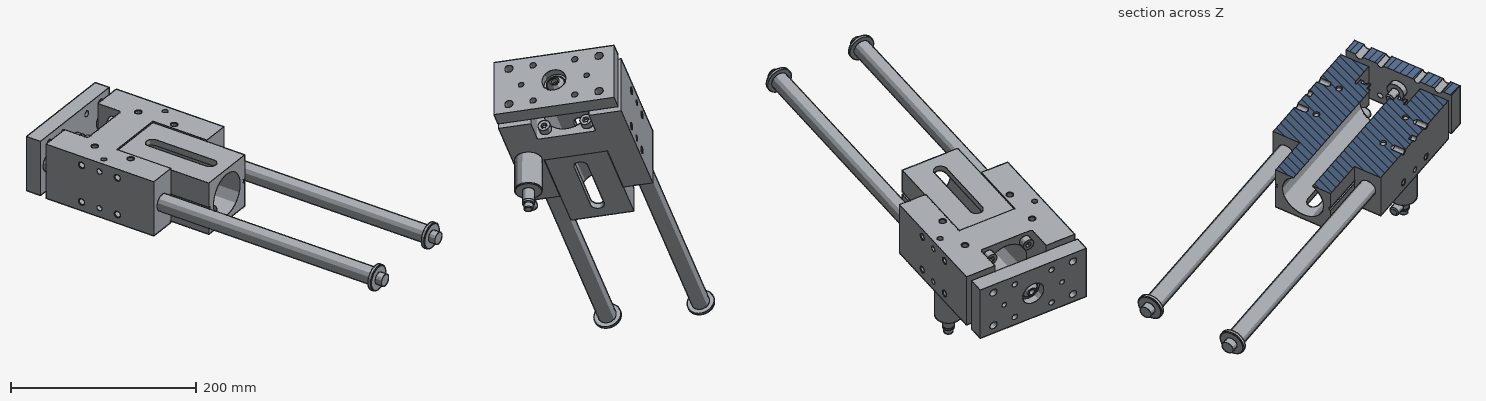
import cadquery as cq
import math


height = 69.0
rod_diameter = 20.0
rod_offset = 52.0
screw_offset = 23.3

plate_length = 18.2
plate_width = 134.0
mount_hole_diameter = 9.0
mount_hole_offset_y = 50.0
access_hole_diameter = 7.0
dowel_hole_diameter = 6.0
dowel_hole_offset_y = 36.5
dowel_hole_depth = 9.0

coupling_bore_diameter = 26.5
coupling_bore_depth = 9.0
coupling_disc_diameter = 21.0
coupling_disc_length = 7.0
stud_diameter = 10.0
stud_end = 38.0
stud_chamfer = 1.5
disc_rise = 1.0
cone_height = 5.5
cone_diameter = 19.0
cone_tip_diameter = 10.0
cone_hole_diameter = 7.0

overall_length = 456.0
washer_start = 443.5
washer_end = 448.0
washer_diameter = 30.0
washer_chamfer = 1.0
rod_tip_diameter = 14.0

housing_start = 26.5
housing_length = 140.0
housing_width = 137.0
housing_end = housing_start + housing_length
recess_depth = 30.0
recess_width = 64.8
recess_corner_radius = 2.5
recess_floor = housing_start + recess_depth
cylinder_bore_diameter = 52.0

block_start = 96.0
block_end = 215.5
block_width = 70.0
block_height = 65.0
side_groove_height = 3.5
side_groove_depth = 2.5
slot_width = 15.0
slot_length = 89.5
slot_middle = 156.5

hole_row_middle = 95.8
thread_diameter = 7.0
thread_chamfer = 0.7
thread_depth = 13.5
thread_offset_y = 42.5
pin_hole_diameter = 6.5
pin_hole_depth = 6.0
pin_hole_offset_y = 59.7
drill_point_angle = 118

screw_head_diameter = 13.0
screw_head_height = 8.0
screw_socket_size = 6.0
screw_socket_depth = 4.0
screw_socket_turn = 30

lock_x = 92.0
lock_y = 51.5
lock_diameter = 30.0
lock_length = 41.0
lock_chamfer = 1.0
fitting_diameter = 13.0
fitting_length = 14.0
collar_diameter = 12.8
collar_length = 3.5
collar_chamfer = 1.0
tip_diameter = 10.0
tip_length = 6.5
tip_chamfer = 1.0
port_drop = 7.0
port_neck_diameter = 8.5
port_neck_end = 8.5
port_head_diameter = 11.0
port_head_end = 20.5
port_chamfer = 1.5


def rod_along_x(diameter, start, end, y=0, z=0):
    """Round bar parallel to X."""
    return cq.Workplane("YZ", origin=(start, y, z)).circle(diameter / 2).extrude(end - start)


def rod_down(diameter, top, length):
    """Round bar going down from a height on the lock cylinder axis."""
    return cq.Workplane("XY", origin=(lock_x, lock_y, top)).circle(diameter / 2).extrude(-length)


def block_along_x(start, end, width, tall):
    """Rectangular block centred on the X axis."""
    return cq.Workplane("YZ", origin=(start, 0, 0)).rect(width, tall).extrude(end - start)


def four_corners(offset_y, offset_z):
    """Mirrored positions in all four quadrants."""
    return [(sy * offset_y, sz * offset_z) for sy in (-1, 1) for sz in (-1, 1)]


def threaded_hole(diameter, depth, chamfer):
    """Cutter for a chamfered hole with a drill point, entering at the origin and going down."""
    radius = diameter / 2
    point_depth = radius / math.tan(math.radians(drill_point_angle / 2))
    outline = (
        cq.Workplane("XZ")
        .lineTo(radius + chamfer, 0)
        .lineTo(radius, -chamfer)
        .lineTo(radius, -depth)
        .lineTo(0, -depth - point_depth)
        .close()
    )
    return outline.revolve(360, (0, 0, 0), (0, 1, 0))


def make_plate():
    plate = block_along_x(0, plate_length, plate_width, height)
    for y, z in four_corners(mount_hole_offset_y, screw_offset):
        plate = plate.cut(rod_along_x(mount_hole_diameter, 0, plate_length, y, z))
    for y, z in four_corners(screw_offset, screw_offset):
        plate = plate.cut(rod_along_x(access_hole_diameter, 0, plate_length, y, z))
    for y in (-dowel_hole_offset_y, dowel_hole_offset_y):
        plate = plate.cut(rod_along_x(dowel_hole_diameter, 0, dowel_hole_depth, y))
    return plate


def add_coupling(plate):
    """Bored seat holding a hollow cone on a disc, with a stud on the back of the disc."""
    disc_front = coupling_bore_depth - disc_rise
    cone = (
        cq.Workplane("YZ", origin=(disc_front, 0, 0))
        .circle(cone_diameter / 2)
        .workplane(offset=-cone_height)
        .circle(cone_tip_diameter / 2)
        .loft()
    )
    disc = rod_along_x(coupling_disc_diameter, disc_front, plate_length + coupling_disc_length)
    stud = rod_along_x(stud_diameter, plate_length, stud_end).faces(">X").chamfer(stud_chamfer)
    plate = plate.cut(rod_along_x(coupling_bore_diameter, 0, coupling_bore_depth))
    plate = plate.union(cone).union(disc).union(stud)
    return plate.cut(rod_along_x(cone_hole_diameter, 0, coupling_bore_depth))


def make_guide_rod(y):
    rod = rod_along_x(rod_diameter, plate_length, washer_start, y)
    washer = rod_along_x(washer_diameter, washer_start, washer_end, y).faces(">X").chamfer(washer_chamfer)
    tip = rod_along_x(rod_tip_diameter, washer_end, overall_length, y)
    return rod.union(washer).union(tip)


def make_carriage():
    carriage = add_coupling(make_plate())
    for y in (-rod_offset, rod_offset):
        carriage = carriage.union(make_guide_rod(y))
    return carriage


def make_slotted_block():
    block = block_along_x(block_start, block_end, block_width, block_height)
    slot = (
        cq.Workplane("XY", origin=(slot_middle, 0, 0))
        .slot2D(slot_length, slot_width)
        .extrude(block_height / 2, both=True)
    )
    block = block.cut(slot).cut(rod_along_x(cylinder_bore_diameter, block_start, block_end))
    groove = block_along_x(block_start, block_end, 2 * side_groove_depth, side_groove_height)
    for side in (-1, 1):
        block = block.cut(groove.translate((0, side * block_width / 2, 0)))
    return block


def make_housing_shell():
    """Housing block with its front recess, the seat of the slotted block and the bores."""
    shell = block_along_x(housing_start, housing_end, housing_width, height)
    recess = (
        block_along_x(housing_start, recess_floor, recess_width, height)
        .edges("|Z and >X")
        .fillet(recess_corner_radius)
    )
    shell = shell.cut(recess)
    shell = shell.cut(block_along_x(block_start, housing_end, block_width, height))
    shell = shell.cut(rod_along_x(cylinder_bore_diameter, recess_floor, block_start))
    for y in (-rod_offset, rod_offset):
        shell = shell.cut(rod_along_x(rod_diameter, housing_start, housing_end, y))
    return shell


def cut_face_holes(housing):
    """Threaded and pin holes in the top face and in both side faces."""
    thread = threaded_hole(thread_diameter, thread_depth, thread_chamfer)
    pin_hole = cq.Workplane("XY").circle(pin_hole_diameter / 2).extrude(-pin_hole_depth)
    for side in (-1, 1):
        for step in (-1, 1):
            thread_x = hole_row_middle + step * screw_offset
            housing = housing.cut(thread.translate((thread_x, side * thread_offset_y, height / 2)))
        housing = housing.cut(pin_hole.translate((hole_row_middle, side * pin_hole_offset_y, height / 2)))

        side_thread = thread.rotate((0, 0, 0), (1, 0, 0), -side * 90)
        side_pin_hole = pin_hole.rotate((0, 0, 0), (1, 0, 0), -side * 90)
        face_y = side * housing_width / 2
        for z in (-screw_offset, screw_offset):
            for step in (-1, 1):
                thread_x = hole_row_middle + step * screw_offset
                housing = housing.cut(side_thread.translate((thread_x, face_y, z)))
            housing = housing.cut(side_pin_hole.translate((hole_row_middle, face_y, z)))
    return housing


def make_cap_screw_head(y, z):
    head_start = recess_floor - screw_head_height
    head = rod_along_x(screw_head_diameter, head_start, recess_floor, y, z)
    socket = (
        cq.Workplane("YZ", origin=(head_start, y, z))
        .transformed(rotate=(0, 0, screw_socket_turn))
        .polygon(6, screw_socket_size, circumscribed=True)
        .extrude(screw_socket_depth)
    )
    return head.cut(socket)


def make_lock_cylinder():
    """Cylinder under the housing with an angled air fitting at its lower end."""
    fitting_top = -height / 2 - lock_length
    collar_top = fitting_top - fitting_length
    tip_top = collar_top - collar_length
    port_z = fitting_top - port_drop

    lock = rod_down(lock_diameter, -height / 2, lock_length).faces("<Z").chamfer(lock_chamfer)
    lock = lock.union(rod_down(fitting_diameter, fitting_top, fitting_length))
    collar = rod_down(collar_diameter, collar_top, collar_length).faces("<Z").chamfer(collar_chamfer)
    tip = rod_down(tip_diameter, tip_top, tip_length).faces("<Z").chamfer(tip_chamfer)
    lock = lock.union(collar).union(tip)
    neck_end = lock_x + port_neck_end
    head_end = lock_x + port_head_end
    neck = rod_along_x(port_neck_diameter, lock_x, neck_end, lock_y, port_z)
    head = rod_along_x(port_head_diameter, neck_end, head_end, lock_y, port_z)
    head = head.faces(">X").chamfer(port_chamfer)
    return lock.union(neck).union(head)


def make_housing():
    housing = cut_face_holes(make_housing_shell()).union(make_slotted_block())
    for y, z in four_corners(screw_offset, screw_offset):
        housing = housing.union(make_cap_screw_head(y, z))
    return housing.union(make_lock_cylinder())


carriage = make_carriage()
housing = make_housing()
result = cq.Compound.makeCompound([carriage.val(), housing.val()])